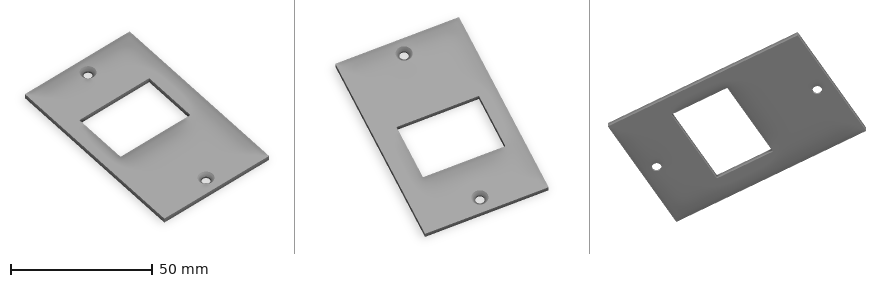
import cadquery as cq

length = 78.0
width = 48.0
thickness = 2.0

window_length = 23.0
window_width = 32.0
window_x = -5.5
window_y = -1.0

hole_spacing = 66.0
hole_diameter = 3.4
countersink_diameter = 6.0
countersink_angle = 90.0

plate = cq.Workplane("XY").box(length, width, thickness)

window = (
    cq.Workplane("XY")
    .center(window_x, window_y)
    .rect(window_length, window_width)
    .extrude(thickness, both=True)
)

result = (
    plate.cut(window)
    .faces(">Z")
    .workplane(origin=(0, 0, 0))
    .pushPoints([(-hole_spacing / 2, 0), (hole_spacing / 2, 0)])
    .cskHole(hole_diameter, countersink_diameter, countersink_angle)
)